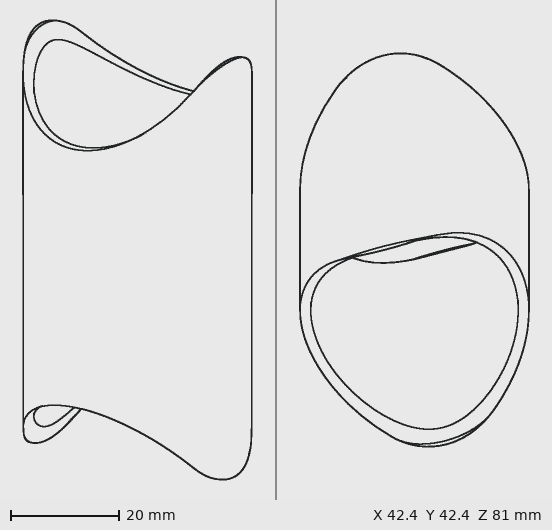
import cadquery as cq
import math

outer_diameter = 42.4
inner_diameter = 38.4
saddle_diameter = outer_diameter
saddle_floor_spacing = 50.0
overall_length = 80.99

outer_radius = outer_diameter / 2
saddle_radius = saddle_diameter / 2
saddle_center_z = saddle_floor_spacing / 2 + saddle_radius
tip_z = overall_length / 2

tip_radius = (saddle_center_z - tip_z) / (math.sqrt(2) - 1)
tip_center_z = tip_z - tip_radius
tangent_y = tip_radius / math.sqrt(2)
tangent_z = saddle_center_z - tangent_y
shoulder_z = saddle_center_z - outer_radius


def make_tube():
    """Plain tube along Z, centred on the origin."""
    return (
        cq.Workplane("XY")
        .circle(outer_radius)
        .circle(inner_diameter / 2)
        .extrude(tip_z, both=True)
    )


def make_saddle(center_z):
    """Cylinder along Y that copes one end of the tube."""
    return (
        cq.Workplane("XZ")
        .center(0, center_z)
        .circle(saddle_radius)
        .extrude(outer_diameter, both=True)
    )


def make_rounded_envelope():
    """Prism along X: straight sides, 45 degree shoulders and rounded tips."""
    return (
        cq.Workplane("YZ")
        .moveTo(outer_radius, -shoulder_z)
        .lineTo(outer_radius, shoulder_z)
        .lineTo(tangent_y, tangent_z)
        .threePointArc((0, tip_z), (-tangent_y, tangent_z))
        .lineTo(-outer_radius, shoulder_z)
        .lineTo(-outer_radius, -shoulder_z)
        .lineTo(-tangent_y, -tangent_z)
        .threePointArc((0, -tip_z), (tangent_y, -tangent_z))
        .close()
        .extrude(outer_diameter, both=True)
    )


result = make_tube()
for end in (1, -1):
    result = result.cut(make_saddle(end * saddle_center_z))
result = result.intersect(make_rounded_envelope())